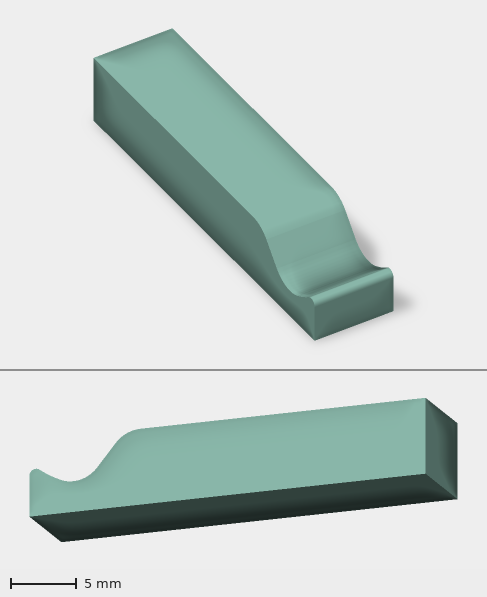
import cadquery as cq
import math

length = 32.0
width = 7.0
height = 6.0

shoulder_start = 23.05
shoulder_radius = 2.62
ramp_angle = math.radians(49.2)

trough_x = 28.45
trough_height = 2.43
trough_radius = 2.53
trough_exit_angle = math.radians(24)

lip_start = 31.15
lip_radius = 0.5
lip_top = 3.75


def point_on_circle(center, radius, angle):
    """Point at an angle measured clockwise from straight up."""
    return (center[0] + radius * math.sin(angle), center[1] + radius * math.cos(angle))


shoulder_center = (shoulder_start, height - shoulder_radius)
trough_center = (trough_x, trough_height + trough_radius)
lip_center = (length - lip_radius, lip_top - lip_radius)

shoulder_mid = point_on_circle(shoulder_center, shoulder_radius, ramp_angle / 2)
ramp_top = point_on_circle(shoulder_center, shoulder_radius, ramp_angle)
ramp_bottom = point_on_circle(trough_center, trough_radius, math.pi + ramp_angle)
trough_bottom = (trough_x, trough_height)
trough_exit = point_on_circle(trough_center, trough_radius, math.pi - trough_exit_angle)

lip_start_angle = math.asin((lip_start - lip_center[0]) / lip_radius)
lip_foot = point_on_circle(lip_center, lip_radius, lip_start_angle)

profile = (
    cq.Workplane("XZ")
    .moveTo(0, 0)
    .lineTo(0, height)
    .lineTo(shoulder_start, height)
    .threePointArc(shoulder_mid, ramp_top)
    .lineTo(*ramp_bottom)
    .threePointArc(trough_bottom, trough_exit)
    .tangentArcPoint(lip_foot, relative=False)
    .threePointArc((lip_center[0], lip_top), (length, lip_center[1]))
    .lineTo(length, 0)
    .close()
)

result = profile.extrude(width / 2, both=True)